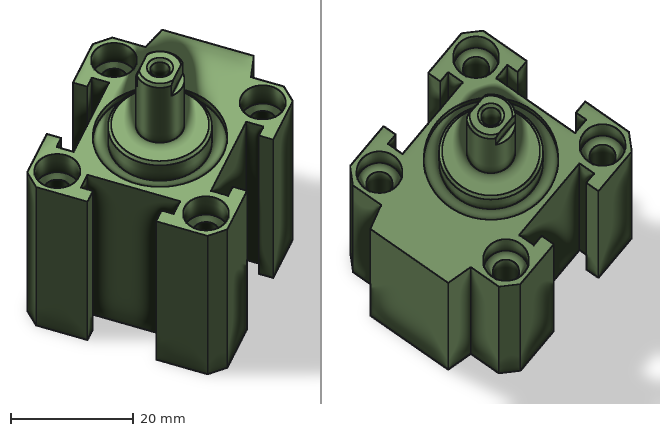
import cadquery as cq
import math

housing_width = 35.0
housing_height = 34.0
corner_chamfer = 2.5
half_width = housing_width / 2

port_block_height = 4.5
port_block_top_width = 16.0
port_block_flank_angle = 15.0

slot_mouth_width = 12.0
slot_inner_width = 16.2
slot_lip_thickness = 2.5
slot_floor_distance = 12.0

mount_hole_spacing = 26.0
mount_hole_diameter = 4.3
mount_counterbore_diameter = 7.5
mount_counterbore_depth = 4.5

recess_diameter = 22.0
recess_depth = 1.3
collar_diameter = 17.0
collar_projection = 3.0
collar_chamfer = 0.5

rod_diameter = 8.0
rod_top = 51.0
rod_socket_depth = 20.0
rod_chamfer = 0.5
flats_width = 6.0
flats_length = 3.0
thread_hole_diameter = 3.24
thread_mouth_diameter = 4.3
thread_hole_depth = 8.0

rod_bottom = housing_height - rod_socket_depth
rod_length = rod_top - rod_bottom


def make_port_block():
    """Trapezoidal block that runs the full height of the +Y side."""
    half_top = port_block_top_width / 2
    half_base = half_top + port_block_height * math.tan(math.radians(port_block_flank_angle))
    outer_y = half_width + port_block_height
    return (
        cq.Workplane("XY")
        .moveTo(-half_base, 0)
        .lineTo(-half_base, half_width)
        .lineTo(-half_top, outer_y)
        .lineTo(half_top, outer_y)
        .lineTo(half_base, half_width)
        .lineTo(half_base, 0)
        .close()
        .extrude(housing_height)
    )


def make_t_slot():
    """Full-height T-slot cutter opening toward -Y."""
    slot_depth = half_width - slot_floor_distance
    mouth = (
        cq.Workplane("XY")
        .center(0, -half_width + slot_depth / 2)
        .rect(slot_mouth_width, slot_depth)
        .extrude(housing_height)
    )
    inner_depth = slot_depth - slot_lip_thickness
    inner = (
        cq.Workplane("XY")
        .center(0, -slot_floor_distance - inner_depth / 2)
        .rect(slot_inner_width, inner_depth)
        .extrude(housing_height)
    )
    return mouth.union(inner)


def make_housing():
    """Slotted body with mounting holes, recess, collar and rod socket."""
    body = (
        cq.Workplane("XY")
        .rect(housing_width, housing_width)
        .extrude(housing_height)
        .edges("|Z")
        .chamfer(corner_chamfer)
        .union(make_port_block())
    )
    for angle in (-90, 0, 90):
        body = body.cut(make_t_slot().rotate((0, 0, 0), (0, 0, 1), angle))

    top_plane = cq.Workplane("XY", origin=(0, 0, housing_height))
    body = body.cut(top_plane.circle(recess_diameter / 2).extrude(-recess_depth))

    mount_holes = top_plane.rect(mount_hole_spacing, mount_hole_spacing, forConstruction=True).vertices()
    body = body.cut(mount_holes.circle(mount_hole_diameter / 2).extrude(-housing_height))
    body = body.cut(mount_holes.circle(mount_counterbore_diameter / 2).extrude(-mount_counterbore_depth))

    collar = (
        cq.Workplane("XY", origin=(0, 0, housing_height - recess_depth))
        .circle(collar_diameter / 2)
        .extrude(recess_depth + collar_projection)
        .faces(">Z")
        .chamfer(collar_chamfer)
    )
    rod_socket = (
        cq.Workplane("XY", origin=(0, 0, rod_bottom))
        .circle(rod_diameter / 2)
        .extrude(rod_length)
    )
    return body.union(collar).cut(rod_socket)


def make_rod():
    """Piston rod with two wrench flats and a threaded end hole."""
    rod = (
        cq.Workplane("XY", origin=(0, 0, rod_bottom))
        .circle(rod_diameter / 2)
        .extrude(rod_length)
        .faces(">Z")
        .chamfer(rod_chamfer)
    )
    top_plane = cq.Workplane("XY", origin=(0, 0, rod_top))
    flats = (
        top_plane
        .rect(2 * rod_diameter, rod_diameter)
        .rect(flats_width, rod_diameter)
        .extrude(-flats_length)
    )
    thread_hole = top_plane.circle(thread_hole_diameter / 2).extrude(-thread_hole_depth)
    mouth_depth = (thread_mouth_diameter - thread_hole_diameter) / 2
    thread_mouth = (
        top_plane
        .circle(thread_mouth_diameter / 2)
        .workplane(offset=-mouth_depth)
        .circle(thread_hole_diameter / 2)
        .loft()
    )
    return rod.cut(flats).cut(thread_hole).cut(thread_mouth)


housing = make_housing()
rod = make_rod()

result = cq.Compound.makeCompound([housing.val(), rod.val()])